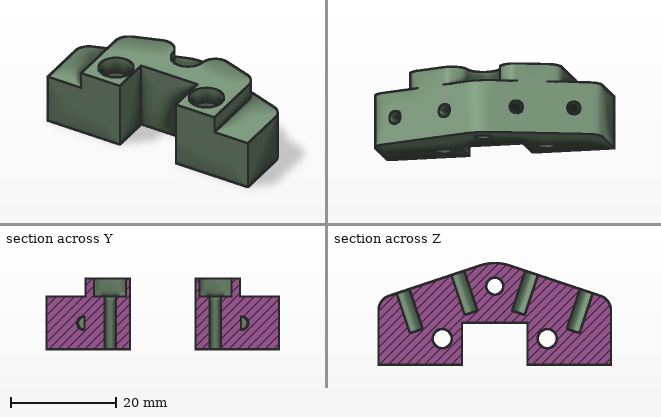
import cadquery as cq
import math

half_width = 22.15
height = 13.5
upper_tier_height = 3.4
lower_tier_height = height - upper_tier_height

side_depth = 12.5
slope_ratio = 1 / 3
slope_angle = math.atan(slope_ratio)
apex_depth = side_depth + half_width * slope_ratio
apex_radius = 8.5
corner_radius = 3.0

upper_half_width = 14.75
clearance_radius = 3.25
clearance_blend_radius = 3.0

notch_width = 12.4
notch_depth = 8.0

center_hole_diameter = 3.2
center_hole_y = 15.0
screw_hole_diameter = 3.6
screw_head_diameter = 6.7
screw_head_depth = 3.4
screw_spacing = 20.0
screw_y = 5.0

slope_hole_diameter = 2.5
slope_hole_depth = 8.0
slope_hole_z = 5.0
slope_hole_spacing = 11.0
slope_hole_middle_y = 15.8


def slope_y(x):
    """Depth of the sloped back face at a given x, ignoring the rounded apex."""
    return apex_depth - abs(x) * slope_ratio


def roofed_prism(half_span, z_bottom, thickness):
    """Prism with a straight front, rounded back corners and a sharp roof apex."""
    outline = [
        (-half_span, 0),
        (half_span, 0),
        (half_span, slope_y(half_span)),
        (0, apex_depth),
        (-half_span, slope_y(half_span)),
    ]
    prism = cq.Workplane("XY").workplane(offset=z_bottom).polyline(outline).close().extrude(thickness)
    for side in (">X", "<X"):
        prism = prism.faces(side).edges("|Z and >Y").fillet(corner_radius)
    return prism


def clearance_cutter():
    """Bell-shaped recess around the center hole, blended tangentially into both slopes."""
    blend_offset = (apex_depth - center_hole_y) * math.cos(slope_angle) - clearance_blend_radius
    center_distance = clearance_radius + clearance_blend_radius
    blend_angle = slope_angle + math.acos(blend_offset / center_distance)
    blend_x = center_distance * math.sin(blend_angle)
    blend_y = center_hole_y + center_distance * math.cos(blend_angle)
    touch_x = clearance_radius * math.sin(blend_angle)
    touch_y = center_hole_y + clearance_radius * math.cos(blend_angle)
    slope_touch_x = blend_x + clearance_blend_radius * math.sin(slope_angle)
    slope_touch_y = blend_y + clearance_blend_radius * math.cos(slope_angle)
    start_angle = blend_angle + math.pi
    end_angle = slope_angle + 2 * math.pi
    middle_angle = (start_angle + end_angle) / 2
    middle_x = blend_x + clearance_blend_radius * math.sin(middle_angle)
    middle_y = blend_y + clearance_blend_radius * math.cos(middle_angle)
    return (
        cq.Workplane("XY")
        .workplane(offset=lower_tier_height)
        .moveTo(-slope_touch_x, slope_touch_y)
        .threePointArc((-middle_x, middle_y), (-touch_x, touch_y))
        .threePointArc((0, center_hole_y - clearance_radius), (touch_x, touch_y))
        .threePointArc((middle_x, middle_y), (slope_touch_x, slope_touch_y))
        .lineTo(0, apex_depth)
        .close()
        .extrude(upper_tier_height)
    )


def body():
    """Lower tier with the rounded apex, topped by the narrower upper tier."""
    lower_tier = roofed_prism(half_width, 0, lower_tier_height)
    lower_tier = lower_tier.edges("|Z and >Y").fillet(apex_radius)
    upper_tier = roofed_prism(upper_half_width, lower_tier_height, upper_tier_height)
    return lower_tier.union(upper_tier.cut(clearance_cutter()))


def notch_cutter():
    return cq.Workplane("XY").box(notch_width, notch_depth, height, centered=(True, False, False))


def center_hole_cutter():
    return cq.Workplane("XY").center(0, center_hole_y).circle(center_hole_diameter / 2).extrude(height)


def screw_hole_cutter(x):
    """Through hole with a counterbore opening at the top."""
    shank = cq.Workplane("XY").center(x, screw_y).circle(screw_hole_diameter / 2).extrude(height)
    head = (
        cq.Workplane("XY")
        .workplane(offset=height - screw_head_depth)
        .center(x, screw_y)
        .circle(screw_head_diameter / 2)
        .extrude(screw_head_depth)
    )
    return shank.union(head)


def slope_hole_cutter(side, shift):
    """Blind hole square to the slope on one side (-1 or 1), shifted up the slope from the pair's middle."""
    y = slope_hole_middle_y + shift * math.sin(slope_angle)
    x = side * (apex_depth - y) / slope_ratio
    inward = cq.Vector(-side * math.sin(slope_angle), -math.cos(slope_angle), 0)
    entry = cq.Vector(x, y, slope_hole_z)
    return cq.Solid.makeCylinder(slope_hole_diameter / 2, slope_hole_depth, entry, inward)


result = body().cut(notch_cutter()).cut(center_hole_cutter())
for side in (-1, 1):
    result = result.cut(screw_hole_cutter(side * screw_spacing / 2))
    for shift in (-slope_hole_spacing / 2, slope_hole_spacing / 2):
        result = result.cut(slope_hole_cutter(side, shift))